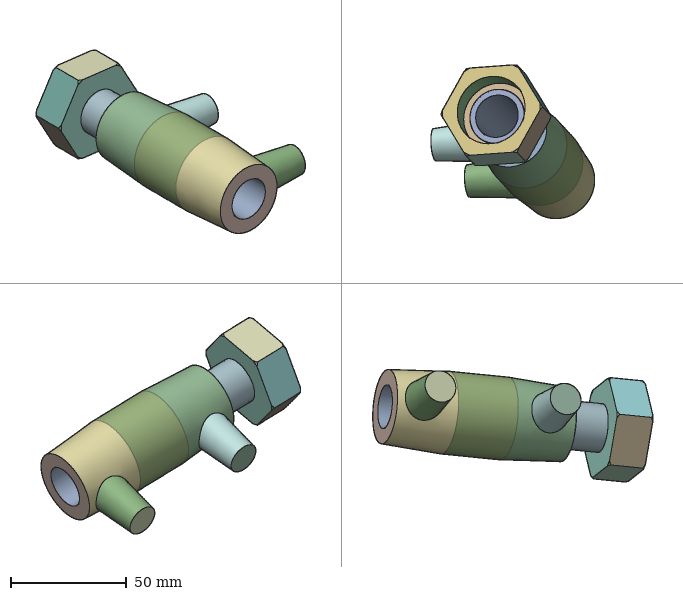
import cadquery as cq
import math

overall_length = 115.0
body_length = 82.0
body_start = overall_length - body_length
body_section = body_length / 3
collar_length = 1.0

bore_diameter = 19.0
neck_diameter = 21.2
collar_diameter = 25.0
body_diameter = 36.0
body_end_diameter = 32.4

nut_across_flats = 39.35
nut_across_corners = nut_across_flats / math.cos(math.pi / 6)
nut_length = 16.5
nut_corner_chamfer = 0.9
nut_bore_diameter = 30.29
nut_bore_depth = 10.9
flange_diameter = 24.23
flange_height = 1.1

spigot_reach = 37.0
spigot_tip_diameter = 14.1
spigot_root_diameter = 20.4
spigot_end_offset = 0.15 * body_length


def cylinder(start, length, diameter):
    """Cylinder on the X axis."""
    return cq.Workplane("YZ", origin=(start, 0, 0)).circle(diameter / 2).extrude(length)


def make_body():
    """Barrel with a straight middle third and a conical taper to each end."""
    end_radius = body_end_diameter / 2
    full_radius = body_diameter / 2
    shoulder_start = body_start + body_section
    shoulder_end = shoulder_start + body_section
    profile = (
        cq.Workplane("XY")
        .moveTo(body_start, 0)
        .lineTo(body_start, end_radius)
        .lineTo(shoulder_start, full_radius)
        .lineTo(shoulder_end, full_radius)
        .lineTo(overall_length, end_radius)
        .lineTo(overall_length, 0)
        .close()
    )
    return profile.revolve(360, (0, 0, 0), (1, 0, 0))


def make_nut():
    """Hexagon with flats on top and bottom and its corners chamfered at both faces."""
    hexagon = cq.Workplane("YZ").polygon(6, nut_across_corners).extrude(nut_length)
    envelope = cylinder(0, nut_length, nut_across_corners).edges().chamfer(nut_corner_chamfer)
    return hexagon.intersect(envelope)


def make_spigot(x):
    """Tapered side spigot running from the body axis to its tip."""
    cone = cq.Solid.makeCone(
        spigot_root_diameter / 2,
        spigot_tip_diameter / 2,
        spigot_reach,
        pnt=cq.Vector(x, 0, 0),
        dir=cq.Vector(0, 1, 0),
    )
    return cq.Workplane("XY").add(cone)


neck = cylinder(0, body_start, neck_diameter)
collar = cylinder(body_start - collar_length, collar_length, collar_diameter)
result = make_body().union(collar).union(neck).union(make_nut())

for spigot_x in (body_start + spigot_end_offset, overall_length - spigot_end_offset):
    result = result.union(make_spigot(spigot_x))

result = result.cut(cylinder(0, nut_bore_depth, nut_bore_diameter))
result = result.union(cylinder(nut_bore_depth - flange_height, flange_height, flange_diameter))

result = result.cut(cylinder(0, overall_length, bore_diameter))